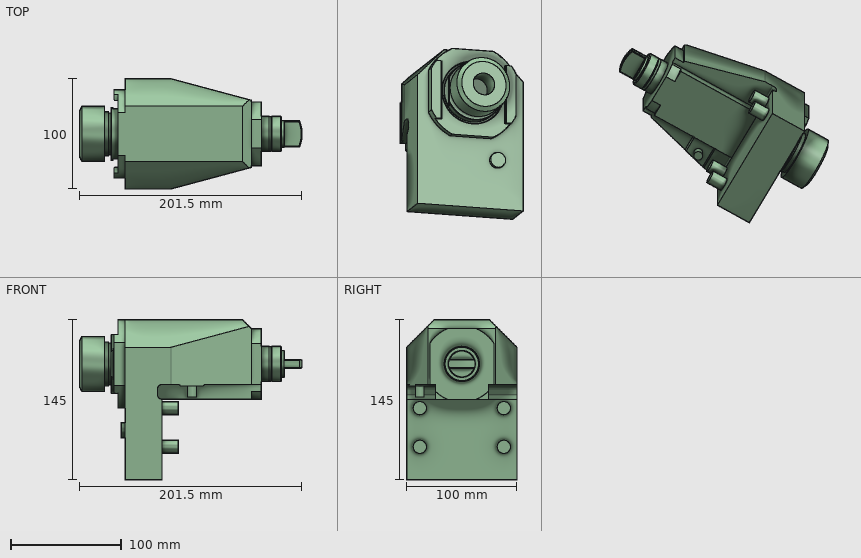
import cadquery as cq
import math


EPS = 1.0

BODY_HALF_WIDTH = 50.0
BODY_TOP = 40.0
BODY_HEIGHT = 145.0
BODY_BOTTOM = BODY_TOP - BODY_HEIGHT
COLUMN_DEPTH = 33.5
BODY_LENGTH = 114.1
TOP_BEVEL = 25.0
REAR_BEVEL = 7.9
TAPER_START = 41.2
TAPER_ANGLE = 15.0
HOUSING_BOTTOM = -18.6
TAPER_INSET = (BODY_LENGTH - TAPER_START) * math.tan(math.radians(TAPER_ANGLE))

KEEL_HALF_WIDTH = 24.0
KEEL_BOTTOM = -32.0
RELIEF_UNDERCUT = 4.4
RELIEF_CORNER = 4.3

PLATE_THICKNESS = 6.7
PLATE_HALF_SIZE = 40.0
PLATE_RADIUS = 44.5
RIB_PROJECTION = 10.2
RIB_INNER_Y = 30.0
RIB_HALF_HEIGHT = 26.7
RIB_EDGE_CHAMFER = 0.9
RECESS_RADIUS = 29.1
RECESS_DEPTH = 2.0
RECESS_CHAMFER = 0.5

NOSE_FRONT = -41.4
NUT_REAR = -18.6
NUT_RADIUS = 25.0
NUT_CHAMFER_LENGTH = 2.1
NUT_CHAMFER_DEPTH = 4.1
SHOULDER_REAR = -15.1
SHOULDER_RADIUS = 20.0
NECK_RADIUS = 19.0
BORE_RADIUS = 10.1
BORE_DEPTH = NUT_REAR - NOSE_FRONT
COLLAR_RADIUS = 26.8
COLLAR_FRONT = -12.8
COLLAR_STEP = -11.2
COLLAR_RIM_FLAT = 24.0
COLLAR_FLAT = 22.8
COLLAR_CHAMFER = 0.5

FLANGE_REAR = 123.1
FLANGE_RADIUS = 34.5
FLANGE_HALF_WIDTH = 29.0
FLANGE_HALF_HEIGHT = -KEEL_BOTTOM

SPINDLE_RADIUS = 16.0
SPINDLE_REAR = 141.5
SPINDLE_CHAMFER = 0.9
GROOVE_START = 130.0
GROOVE_WIDTH = 2.8
GROOVE_DEPTH = 2.0
RING_SECTION_RADIUS = 1.1
RING_SEATING = 0.1
PILOT_RADIUS = 12.2
PILOT_REAR = 144.0
PILOT_CHAMFER = 0.5
OVERALL_LENGTH = 201.52
TANG_TIP = NOSE_FRONT + OVERALL_LENGTH
TANG_HALF_THICKNESS = 4.0
TANG_RADIUS = 12.0
TANG_EDGE_CHAMFER = 1.2
TANG_TIP_RADIUS = 31.0
TANG_TIP_CHAMFER = 0.6

SCREW_RADIUS = 6.0
SCREW_LENGTH = 14.5
SCREW_Y = 38.0
SCREW_ROWS_Z = (-40.0, -75.0)
BUTTON_RADIUS = 7.0
BUTTON_PROJECTION = 3.7
BUTTON_Y = -25.0
BUTTON_Z = -60.0
PIN_X = 60.3
PIN_Y = -38.0
PIN_RADIUS = 4.0
PIN_BOTTOM = -29.7
PAD_HEIGHT = 1.2
PAD_TOP_HALF_LENGTH = 11.6
PAD_BOTTOM_HALF_LENGTH = 10.2


def box(x0, x1, y0, y1, z0, z1):
    """Box between two opposite corners."""
    return cq.Workplane("XY").box(x1 - x0, y1 - y0, z1 - z0, centered=False).translate((x0, y0, z0))


def rod(x0, x1, radius, y=0.0, z=0.0):
    """Cylinder parallel to the X axis."""
    return cq.Workplane("YZ", origin=(x0, y, z)).circle(radius).extrude(x1 - x0)


def flatted_disc(x0, x1, radius, half_width, half_height):
    """Disc on the spindle axis, trimmed by flats on Y and Z."""
    trim = box(x0, x1, -half_width, half_width, -half_height, half_height)
    return rod(x0, x1, radius).intersect(trim)


def turned(points):
    """Solid of revolution about the spindle axis from (x, radius) points."""
    return cq.Workplane("XY").polyline(points).close().revolve(360, (0, 0, 0), (1, 0, 0))


def side_outline_prism():
    """Column and housing as seen along Y, extruded across the full width."""
    points = [
        (0, BODY_BOTTOM),
        (0, BODY_TOP),
        (BODY_LENGTH - REAR_BEVEL, BODY_TOP),
        (BODY_LENGTH, BODY_TOP - REAR_BEVEL),
        (BODY_LENGTH, KEEL_BOTTOM),
        (COLUMN_DEPTH, KEEL_BOTTOM),
        (COLUMN_DEPTH, BODY_BOTTOM),
    ]
    return cq.Workplane("XZ").polyline(points).close().extrude(BODY_HALF_WIDTH, both=True)


def end_outline_prism():
    """Body as seen along X, with the two large top bevels."""
    shoulder_z = BODY_TOP - TOP_BEVEL
    top_half_width = BODY_HALF_WIDTH - TOP_BEVEL
    points = [
        (-BODY_HALF_WIDTH, BODY_BOTTOM),
        (BODY_HALF_WIDTH, BODY_BOTTOM),
        (BODY_HALF_WIDTH, shoulder_z),
        (top_half_width, BODY_TOP),
        (-top_half_width, BODY_TOP),
        (-BODY_HALF_WIDTH, shoulder_z),
    ]
    return cq.Workplane("YZ").polyline(points).close().extrude(BODY_LENGTH)


def plan_outline_prism():
    """Body as seen along Z, with sides tapering towards the rear."""
    rear_half_width = BODY_HALF_WIDTH - TAPER_INSET
    points = [
        (0, -BODY_HALF_WIDTH),
        (TAPER_START, -BODY_HALF_WIDTH),
        (BODY_LENGTH, -rear_half_width),
        (BODY_LENGTH, rear_half_width),
        (TAPER_START, BODY_HALF_WIDTH),
        (0, BODY_HALF_WIDTH),
    ]
    plan = cq.Workplane("XY", origin=(0, 0, BODY_BOTTOM))
    return plan.polyline(points).close().extrude(BODY_HEIGHT)


def body():
    return side_outline_prism().intersect(end_outline_prism()).intersect(plan_outline_prism())


def rear_flange():
    return flatted_disc(
        BODY_LENGTH - EPS, FLANGE_REAR, FLANGE_RADIUS, FLANGE_HALF_WIDTH, FLANGE_HALF_HEIGHT
    )


def keel_reliefs():
    """Pockets on both sides of the keel, running into the column with rounded corners."""
    pockets = cq.Workplane("XY")
    for y0 in (-BODY_HALF_WIDTH - EPS, KEEL_HALF_WIDTH):
        y1 = y0 + BODY_HALF_WIDTH - KEEL_HALF_WIDTH + EPS
        x0 = COLUMN_DEPTH - RELIEF_UNDERCUT
        pocket = box(x0, FLANGE_REAR + EPS, y0, y1, KEEL_BOTTOM, HOUSING_BOTTOM)
        pockets = pockets.add(pocket.edges("|Y and <X").fillet(RELIEF_CORNER))
    return pockets.combine()


def front_plate():
    return flatted_disc(-PLATE_THICKNESS, EPS, PLATE_RADIUS, PLATE_HALF_SIZE, PLATE_HALF_SIZE)


def driving_ribs():
    """Two upright ribs on the plate, bevelled along their inner front edges."""
    disc = flatted_disc(-RIB_PROJECTION, 0, PLATE_RADIUS, PLATE_HALF_SIZE, RIB_HALF_HEIGHT)
    bevel_start = -RIB_PROJECTION + RIB_EDGE_CHAMFER
    gap_points = [
        (0, -RIB_INNER_Y),
        (bevel_start, -RIB_INNER_Y),
        (-RIB_PROJECTION, -RIB_INNER_Y - RIB_EDGE_CHAMFER),
        (-RIB_PROJECTION, RIB_INNER_Y + RIB_EDGE_CHAMFER),
        (bevel_start, RIB_INNER_Y),
        (0, RIB_INNER_Y),
    ]
    gap = cq.Workplane("XY").polyline(gap_points).close().extrude(RIB_HALF_HEIGHT, both=True)
    return disc.cut(gap)


def collar_recess():
    """Chamfered counterbore in the front plate around the collar."""
    face = -PLATE_THICKNESS
    inner_radius = RECESS_RADIUS - RECESS_CHAMFER
    return turned([
        (face, 0),
        (face, RECESS_RADIUS),
        (face + RECESS_CHAMFER, inner_radius),
        (face + RECESS_DEPTH, inner_radius),
        (face + RECESS_DEPTH, 0),
    ])


def collar():
    """Round collar with wrench flats ahead of the plate, shallower on its front rim."""
    blank = rod(COLLAR_FRONT, EPS, COLLAR_RADIUS).faces("<X").chamfer(COLLAR_CHAMFER)
    for x0, x1, flat in (
        (COLLAR_FRONT, COLLAR_STEP, COLLAR_RIM_FLAT),
        (COLLAR_STEP, -PLATE_THICKNESS, COLLAR_FLAT),
    ):
        blank = blank.cut(box(x0, x1, flat, COLLAR_RADIUS, -COLLAR_RADIUS, COLLAR_RADIUS))
        blank = blank.cut(box(x0, x1, -COLLAR_RADIUS, -flat, -COLLAR_RADIUS, COLLAR_RADIUS))
    return blank


def clamping_nose():
    nose = turned([
        (NOSE_FRONT, 0),
        (NOSE_FRONT, NUT_RADIUS - NUT_CHAMFER_DEPTH),
        (NOSE_FRONT + NUT_CHAMFER_LENGTH, NUT_RADIUS),
        (NUT_REAR, NUT_RADIUS),
        (NUT_REAR, SHOULDER_RADIUS),
        (SHOULDER_REAR, SHOULDER_RADIUS),
        (SHOULDER_REAR, NECK_RADIUS),
        (EPS, NECK_RADIUS),
        (EPS, 0),
    ])
    return nose.cut(rod(NOSE_FRONT, NOSE_FRONT + BORE_DEPTH, BORE_RADIUS))


def rear_spindle():
    floor_radius = SPINDLE_RADIUS - GROOVE_DEPTH
    groove_end = GROOVE_START + GROOVE_WIDTH
    return turned([
        (FLANGE_REAR - EPS, 0),
        (FLANGE_REAR - EPS, SPINDLE_RADIUS),
        (GROOVE_START, SPINDLE_RADIUS),
        (GROOVE_START, floor_radius),
        (groove_end, floor_radius),
        (groove_end, SPINDLE_RADIUS),
        (SPINDLE_REAR - SPINDLE_CHAMFER, SPINDLE_RADIUS),
        (SPINDLE_REAR, SPINDLE_RADIUS - SPINDLE_CHAMFER),
        (SPINDLE_REAR, PILOT_RADIUS),
        (PILOT_REAR - PILOT_CHAMFER, PILOT_RADIUS),
        (PILOT_REAR, PILOT_RADIUS - PILOT_CHAMFER),
        (PILOT_REAR, 0),
    ])


def sealing_ring():
    """O-ring lying against the front wall of its groove, just below the spindle surface."""
    ring_x = GROOVE_START + RING_SECTION_RADIUS - RING_SEATING
    ring_radius = SPINDLE_RADIUS - RING_SECTION_RADIUS - RING_SEATING
    section = cq.Workplane("XY").center(ring_x, ring_radius).circle(RING_SECTION_RADIUS)
    return section.revolve(360, (-ring_x, -ring_radius, 0), (1 - ring_x, -ring_radius, 0))


def driving_tang():
    """Flat tang cut from a round bar, with chamfered edges and a domed tip."""
    root = PILOT_REAR - EPS
    half = TANG_HALF_THICKNESS
    blade = box(root, TANG_TIP, -TANG_RADIUS, TANG_RADIUS, -half, half)
    dome = cq.Workplane("XY").sphere(TANG_TIP_RADIUS).translate((TANG_TIP - TANG_TIP_RADIUS, 0, 0))
    blade = blade.intersect(dome)
    for flat_face in (">Z", "<Z"):
        blade = blade.faces(flat_face).edges(">X").chamfer(TANG_TIP_CHAMFER)
    blade = blade.edges("|X").chamfer(TANG_EDGE_CHAMFER)
    return blade.intersect(rod(root, TANG_TIP, TANG_RADIUS))


def mounting_screws():
    """Screw ends standing out of the rear face of the column."""
    screws = cq.Workplane("XY")
    for y in (-SCREW_Y, SCREW_Y):
        for z in SCREW_ROWS_Z:
            screws = screws.add(rod(COLUMN_DEPTH - EPS, COLUMN_DEPTH + SCREW_LENGTH, SCREW_RADIUS, y, z))
    return screws.combine()


def locating_button():
    return rod(-BUTTON_PROJECTION, EPS, BUTTON_RADIUS, BUTTON_Y, BUTTON_Z)


def pin_pad():
    """Low pad between the keel and the body side, with sloping ends and trimmed to the side."""
    pad_bottom = HOUSING_BOTTOM - PAD_HEIGHT
    points = [
        (PIN_X - PAD_TOP_HALF_LENGTH, HOUSING_BOTTOM),
        (PIN_X - PAD_BOTTOM_HALF_LENGTH, pad_bottom),
        (PIN_X + PAD_BOTTOM_HALF_LENGTH, pad_bottom),
        (PIN_X + PAD_TOP_HALF_LENGTH, HOUSING_BOTTOM),
    ]
    pad = cq.Workplane("XZ").polyline(points).close().extrude(BODY_HALF_WIDTH)
    return pad.intersect(plan_outline_prism())


def coolant_pin():
    base = cq.Workplane("XY", origin=(PIN_X, PIN_Y, HOUSING_BOTTOM))
    return base.circle(PIN_RADIUS).extrude(PIN_BOTTOM - HOUSING_BOTTOM)


result = body().union(rear_flange()).cut(keel_reliefs())
result = result.union(front_plate()).union(driving_ribs()).cut(collar_recess())
result = result.union(collar()).union(clamping_nose())
result = result.union(rear_spindle()).union(sealing_ring()).union(driving_tang())
result = result.union(mounting_screws()).union(locating_button())
result = result.union(pin_pad()).union(coolant_pin())